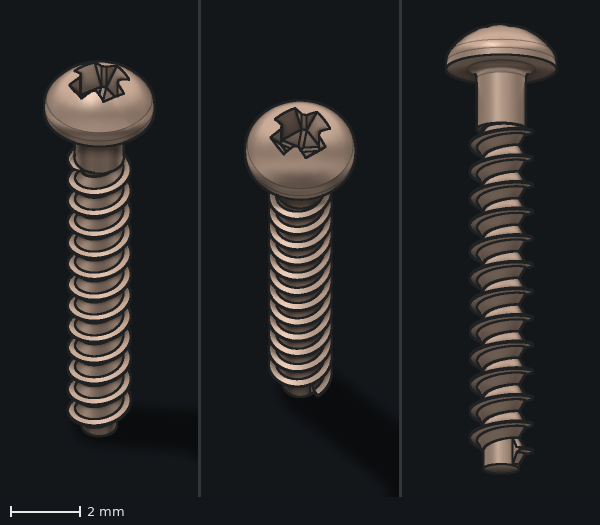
import cadquery as cq
import math

total_length = 13.21
head_radius = 1.6
head_underside_z = 12.0
rim_bottom_z = 12.2
dome_edge_radius = 1.53
dome_edge_z = 12.47

shank_radius = 0.71
shank_bottom_z = 10.2
neck_fillet = 0.28

arm_reach = 0.82
arm_half_width = 0.35
socket_half_width = 0.45
socket_floor_z = 12.42
socket_tip_depth = 0.26
recess_clearance = 0.4
tool_clearance_z = total_length + recess_clearance

core_radius = 0.52
crest_radius = 0.91
fin_base_radius = 0.7
crest_half_width = 0.02
fin_base_half_width = 0.08
root_radius = 0.53
root_clearance = 0.007
root_overlap = 0.07
thread_start_z = 0.42
crest_span = 9.59
crest_turns = 12
pitch = crest_span / crest_turns
root_half_width = pitch / 2 - root_clearance
swept_turns = crest_turns + 1

peak_radius = (socket_half_width + arm_half_width) / math.sqrt(2)
dome_center_z = (
    peak_radius**2 + total_length**2 - dome_edge_radius**2 - dome_edge_z**2
) / (2 * (total_length - dome_edge_z))
dome_radius = math.hypot(peak_radius, total_length - dome_center_z)
dome_apex_z = dome_center_z + dome_radius


def dome_height(radius):
    """Height of the spherical dome at a distance from the axis."""
    return dome_center_z + math.sqrt(dome_radius**2 - radius**2)


def make_body():
    """Head, neck, shank and thread core as one turned solid."""
    dome_middle_radius = dome_edge_radius / 2
    fillet_rise = neck_fillet * math.sqrt(0.5)
    neck_middle = (
        shank_radius + neck_fillet - fillet_rise,
        head_underside_z - neck_fillet + fillet_rise,
    )
    return (
        cq.Workplane("XZ")
        .moveTo(0, dome_apex_z)
        .threePointArc((dome_middle_radius, dome_height(dome_middle_radius)), (dome_edge_radius, dome_edge_z))
        .tangentArcPoint((head_radius, rim_bottom_z), relative=False)
        .lineTo(head_radius, head_underside_z)
        .lineTo(shank_radius + neck_fillet, head_underside_z)
        .threePointArc(neck_middle, (shank_radius, head_underside_z - neck_fillet))
        .lineTo(shank_radius, shank_bottom_z)
        .lineTo(core_radius, shank_bottom_z)
        .lineTo(core_radius, 0)
        .lineTo(0, 0)
        .close()
        .revolve(360, (0, 0, 0), (0, 1, 0))
    )


def make_thread():
    """Thin-finned thread starting on the -X side and cut flat where the shank begins."""
    half_profile = [
        (core_radius - root_overlap, root_half_width),
        (root_radius, root_half_width),
        (fin_base_radius, fin_base_half_width),
        (crest_radius, crest_half_width),
    ]
    profile = half_profile + [(r, -z) for r, z in reversed(half_profile)]
    path = cq.Workplane(cq.Wire.makeHelix(pitch, swept_turns * pitch, core_radius))
    thread = cq.Workplane("XZ").polyline(profile).close().sweep(path, isFrenet=True)
    thread = thread.rotate((0, 0, 0), (0, 0, 1), 180).translate((0, 0, thread_start_z))
    below_shank = cq.Workplane("XY").circle(2 * crest_radius).extrude(shank_bottom_z)
    return thread.intersect(below_shank)


def make_pyramid(half_width, depth):
    """Square pyramid with its base on the XY plane and its tip pointing down."""
    wedge = (
        cq.Workplane("XZ")
        .polyline([(-half_width, 0), (half_width, 0), (0, -depth)])
        .close()
        .extrude(half_width, both=True)
    )
    return wedge.intersect(wedge.rotate((0, 0, 0), (0, 0, 1), 90))


def make_recess():
    """Two crossed tapering slots around a bevelled square socket with a pointed, bevelled floor."""
    ridge_slope = socket_tip_depth / (socket_half_width * math.sqrt(2))
    taper_run = arm_reach - socket_half_width
    taper_height = dome_height(arm_reach) - socket_floor_z
    top_reach = socket_half_width + taper_run * (tool_clearance_z - socket_floor_z) / taper_height
    slot = (
        cq.Workplane("XZ")
        .polyline([
            (-socket_half_width, socket_floor_z),
            (socket_half_width, socket_floor_z),
            (top_reach, tool_clearance_z),
            (-top_reach, tool_clearance_z),
        ])
        .close()
        .extrude(arm_half_width, both=True)
    )
    socket = (
        cq.Workplane("XY")
        .workplane(offset=socket_floor_z)
        .rect(2 * socket_half_width, 2 * socket_half_width)
        .extrude(tool_clearance_z - socket_floor_z)
        .edges("|Z")
        .chamfer(socket_half_width - arm_half_width)
    )
    tip = make_pyramid(socket_half_width, socket_tip_depth).intersect(
        make_pyramid(peak_radius, peak_radius * ridge_slope).rotate((0, 0, 0), (0, 0, 1), 45)
    )
    tip = tip.translate((0, 0, socket_floor_z))
    cross = slot.union(slot.rotate((0, 0, 0), (0, 0, 1), 90))
    return cross.union(socket).union(tip)


result = make_body().union(make_thread()).cut(make_recess())